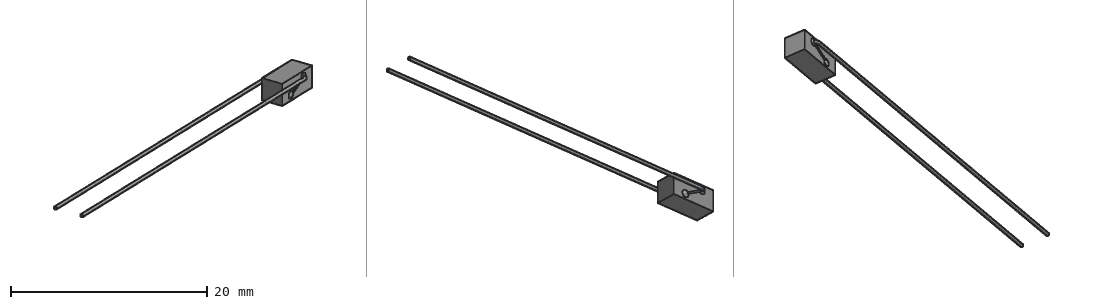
import cadquery as cq
import math

overall_width = 3.63
overall_length = 42.02

case_width = 2.5
case_length = 5.4
case_height = 2.5
case_side_x = case_width / 2

wire_diameter = 0.38
wire_radius = wire_diameter / 2
wire_axis_x = overall_width / 2 - wire_radius
bend_radius = wire_axis_x - case_side_x
wire_tip_y = case_length / 2 - overall_length

bead_offset_y = 1.125
bead_offset_z = 0.6
bead_radius = 0.42
bead_rise = 0.15

bridge_radius = 0.1


def make_case():
    return cq.Workplane("XY").box(case_width, case_length, case_height)


def make_bead(center_y, center_z):
    """Spherical cap standing on the -X side of the case."""
    sphere_radius = (bead_radius**2 + bead_rise**2) / (2 * bead_rise)
    lowest_latitude = math.degrees(math.asin(1 - bead_rise / sphere_radius))
    cap = cq.Solid.makeSphere(
        sphere_radius,
        cq.Vector(-case_side_x - bead_rise + sphere_radius, center_y, center_z),
        cq.Vector(-1, 0, 0),
        angleDegrees1=lowest_latitude,
        angleDegrees2=90,
        angleDegrees3=360,
    )
    return cq.Workplane(obj=cap)


def make_bridge():
    """Round strand between the bead centres, cut to the half outside the case."""
    start = cq.Vector(-case_side_x, bead_offset_y, bead_offset_z)
    end = cq.Vector(-case_side_x, -bead_offset_y, -bead_offset_z)
    run = end - start
    strand = cq.Solid.makeCylinder(bridge_radius, run.Length, start, run)
    return cq.Workplane(obj=strand).cut(make_case())


def make_wire():
    """Round wire that leaves the upper bead through a quarter bend, then runs straight to its tip."""
    bend_end_y = bead_offset_y - bend_radius
    bend_middle = bend_radius * math.sin(math.pi / 4)
    path = (
        cq.Workplane("XY", origin=(0, 0, bead_offset_z))
        .moveTo(-case_side_x, bead_offset_y)
        .threePointArc(
            (-case_side_x - bend_middle, bend_end_y + bend_middle),
            (-wire_axis_x, bend_end_y),
        )
        .lineTo(-wire_axis_x, wire_tip_y)
    )
    start = (-case_side_x, bead_offset_y, bead_offset_z)
    return cq.Workplane("YZ", origin=start).circle(wire_radius).sweep(path)


def make_lead():
    """Lead on the -X side: wire, two beads and the bridge fused into one solid."""
    upper_bead = make_bead(bead_offset_y, bead_offset_z)
    lower_bead = make_bead(-bead_offset_y, -bead_offset_z)
    return make_wire().union(upper_bead).union(make_bridge()).union(lower_bead)


case = make_case()

left_lead = make_lead()
leads = [left_lead, left_lead.mirror("YZ")]

result = cq.Compound.makeCompound([case.val(), *[lead.solids().val() for lead in leads]])